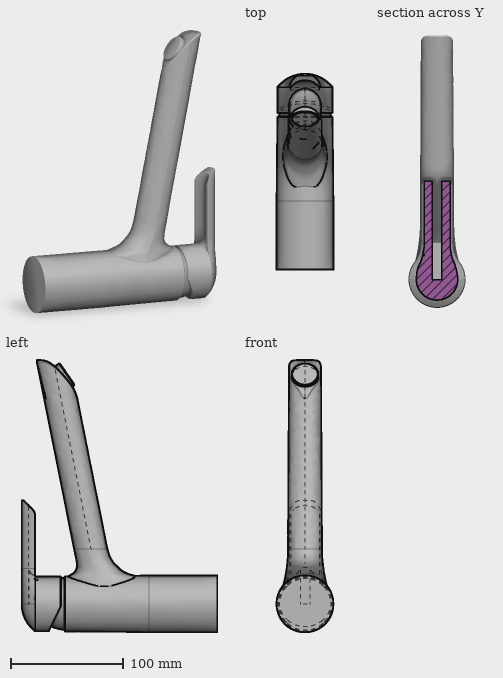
import cadquery as cq
import math


INLET_RADIUS = 25.5
INLET_LENGTH = 61.4
BODY_END_RADIUS = 24.7
BODY_END_Y = 136.8
BODY_END_CHAMFER = 1.0

NECK_RADIUS = 23.3
NECK_TAIL_RADIUS = 19.4
NECK_TAIL_Y = 150.0
NECK_BULGE = 0.6

HANDLE_RADIUS = 24.6
HANDLE_START_Y = 139.6
HANDLE_END_Y = 162.6
HANDLE_CHAMFER = 0.6
RELIEF_TOP_Z = -1.6
RELIEF_BOTTOM_Y = 150.7

TOTAL_LENGTH = 174.85
CAP_DEPTH = TOTAL_LENGTH - HANDLE_END_Y
LEVER_HALF_WIDTH = 14.0
LEVER_TOP_Z = 92.3
FLARE_TOP_Z = 32.0
FLARE_STEPS = 8
TIP_FLAT = 1.8
TIP_CORNER_RADIUS = 9.0
TIP_ROUND_DEPTH = 2.6
TIP_ROUND_HEIGHT = 4.5
HOLLOW_HALF_WIDTH = 12.6
HOLLOW_DEPTH = 6.4
COVE_RADIUS = 8.0
COVE_START_Y = 160.4

TOTAL_HEIGHT = 243.2
SPOUT_TOP_Z = TOTAL_HEIGHT - INLET_RADIUS
SPOUT_LEAN = math.radians(11.3)
SPOUT_FOOT_FRONT_Y = 93.3
SPOUT_FOOT_BACK_Y = 123.1
SPOUT_FOOT_HALF_WIDTH = 15.3
SPOUT_TIP_HALF_WIDTH = 14.4
SPOUT_RIM_ROUND = 1.2
SPOUT_END_CURVE = [(154.0, 217.0), (144.9, 211.6), (129.4, 193.5), (124.3, 181.0)]
SPOUT_END_START = (-1, 0)
SPOUT_END_FINISH = (-0.3, -1)

ROOT_FRONT_RADIUS = 30.0
ROOT_BACK_RADIUS = 10.0
ROOT_TOP_Z = 49.0
ROOT_BOTTOM_Z = 15.5
ROOT_BOTTOM_HALF_WIDTH = 19.8
ROOT_STEPS = 9

NOZZLE_RADIUS = 12.0
NOZZLE_CHAMFER = 0.7
NOZZLE_LENGTH = 9.0
NOZZLE_FACE_Y = 134.1
NOZZLE_FACE_Z = 205.0
NOZZLE_TILT = math.radians(34.6)


def revolve_about_y(profile):
    """Turn a closed XY outline (x = radius) about the Y axis."""
    return profile.close().revolve(360, (0, 0, 0), (0, 1, 0))


def make_body():
    profile = (
        cq.Workplane("XY")
        .lineTo(INLET_RADIUS, 0)
        .lineTo(INLET_RADIUS, INLET_LENGTH)
        .lineTo(BODY_END_RADIUS, BODY_END_Y - BODY_END_CHAMFER)
        .lineTo(BODY_END_RADIUS - BODY_END_CHAMFER, BODY_END_Y)
        .lineTo(0, BODY_END_Y)
    )
    return revolve_about_y(profile)


def make_neck():
    middle_radius = (NECK_RADIUS + NECK_TAIL_RADIUS) / 2 + NECK_BULGE
    middle_y = (BODY_END_Y + NECK_TAIL_Y) / 2
    profile = (
        cq.Workplane("XY")
        .moveTo(0, BODY_END_Y)
        .lineTo(NECK_RADIUS, BODY_END_Y)
        .threePointArc((middle_radius, middle_y), (NECK_TAIL_RADIUS, NECK_TAIL_Y))
        .lineTo(NECK_TAIL_RADIUS, HANDLE_END_Y)
        .lineTo(0, HANDLE_END_Y)
    )
    return revolve_about_y(profile)


def make_handle():
    profile = (
        cq.Workplane("XY")
        .moveTo(0, HANDLE_START_Y)
        .lineTo(HANDLE_RADIUS - HANDLE_CHAMFER, HANDLE_START_Y)
        .lineTo(HANDLE_RADIUS, HANDLE_START_Y + HANDLE_CHAMFER)
        .lineTo(HANDLE_RADIUS, HANDLE_END_Y)
        .lineTo(0, HANDLE_END_Y)
    )
    relief = (
        cq.Workplane("YZ")
        .polyline(
            [
                (HANDLE_START_Y, RELIEF_TOP_Z),
                (RELIEF_BOTTOM_Y, -HANDLE_RADIUS),
                (HANDLE_START_Y, -HANDLE_RADIUS),
            ]
        )
        .close()
        .extrude(INLET_RADIUS, both=True)
    )
    return revolve_about_y(profile).cut(relief)


def make_cap():
    """Dome on the handle; its outline is the circular arc that also shapes the lever back."""
    arc_radius = (HANDLE_RADIUS**2 + CAP_DEPTH**2) / (2 * CAP_DEPTH)
    half_angle = math.asin(HANDLE_RADIUS / arc_radius) / 2
    arc_center_y = TOTAL_LENGTH - arc_radius
    arc_middle = (arc_radius * math.sin(half_angle), arc_center_y + arc_radius * math.cos(half_angle))
    profile = (
        cq.Workplane("XY")
        .moveTo(0, HANDLE_END_Y)
        .lineTo(HANDLE_RADIUS, HANDLE_END_Y)
        .threePointArc(arc_middle, (0, TOTAL_LENGTH))
    )
    return revolve_about_y(profile)


def arched_section(z, half_width, depth):
    """Circular segment standing on the handle end plane and bulging towards +Y."""
    return (
        cq.Workplane("XY", origin=(0, 0, z))
        .moveTo(-half_width, HANDLE_END_Y)
        .threePointArc((0, HANDLE_END_Y + depth), (half_width, HANDLE_END_Y))
        .close()
    )


def flare_half_width(z):
    """Half width of the lever: the handle circle, then an arc tangent to it and to the lever side."""
    spread = HANDLE_RADIUS - LEVER_HALF_WIDTH
    flare_radius = (LEVER_HALF_WIDTH**2 + FLARE_TOP_Z**2 - HANDLE_RADIUS**2) / (2 * spread)
    tangent_z = FLARE_TOP_Z * HANDLE_RADIUS / (HANDLE_RADIUS + flare_radius)
    if z < tangent_z:
        return math.sqrt(HANDLE_RADIUS**2 - z**2)
    drop = FLARE_TOP_Z - z
    return LEVER_HALF_WIDTH + flare_radius - math.sqrt(flare_radius**2 - drop**2)


def make_flare():
    wires = []
    for step in range(FLARE_STEPS + 1):
        z = FLARE_TOP_Z * step / FLARE_STEPS
        wires.append(arched_section(z, flare_half_width(z), CAP_DEPTH).wire().val())
    return cq.Workplane(cq.Solid.makeLoft(wires))


def make_lever_blade():
    """Straight blade with a 45 degree end, rounded over towards the front."""
    blade = arched_section(FLARE_TOP_Z, LEVER_HALF_WIDTH, CAP_DEPTH).extrude(LEVER_TOP_Z - FLARE_TOP_Z)
    slope_start_y = TOTAL_LENGTH - TIP_FLAT
    slope_end_y = HANDLE_END_Y + TIP_ROUND_DEPTH
    slope_end_z = LEVER_TOP_Z - (slope_start_y - slope_end_y)
    side_outline = (
        cq.Workplane("YZ")
        .moveTo(TOTAL_LENGTH, 0)
        .lineTo(TOTAL_LENGTH, LEVER_TOP_Z)
        .lineTo(slope_start_y, LEVER_TOP_Z)
        .lineTo(slope_end_y, slope_end_z)
        .tangentArcPoint((HANDLE_END_Y, slope_end_z - TIP_ROUND_HEIGHT), relative=False)
        .lineTo(HANDLE_END_Y, 0)
        .close()
        .extrude(LEVER_HALF_WIDTH, both=True)
    )
    front_outline = (
        cq.Workplane("XZ")
        .rect(2 * LEVER_HALF_WIDTH, 2 * LEVER_TOP_Z)
        .extrude(-2 * TOTAL_LENGTH)
        .edges("|Y and >Z")
        .fillet(TIP_CORNER_RADIUS)
    )
    return blade.intersect(side_outline).intersect(front_outline)


def make_cove():
    """Disc coaxial with the handle whose rim curves up from the handle cylinder to the lever."""
    cove_end_y = COVE_START_Y + COVE_RADIUS
    cove_middle = COVE_RADIUS * math.sqrt(0.5)
    crest_radius = HANDLE_RADIUS + COVE_RADIUS
    profile = (
        cq.Workplane("XY")
        .moveTo(0, COVE_START_Y)
        .lineTo(HANDLE_RADIUS, COVE_START_Y)
        .threePointArc(
            (crest_radius - cove_middle, COVE_START_Y + cove_middle),
            (crest_radius, cove_end_y),
        )
        .lineTo(0, cove_end_y)
    )
    return revolve_about_y(profile)


def hollow_lever(lever):
    """Cut the finger hollow into the lever front and run it out on the handle in a cove."""
    cove = make_cove()
    hollow = arched_section(0, HOLLOW_HALF_WIDTH, HOLLOW_DEPTH).extrude(LEVER_TOP_Z)
    cove_front = (
        cq.Workplane("XY")
        .moveTo(-HOLLOW_HALF_WIDTH, COVE_START_Y)
        .lineTo(HOLLOW_HALF_WIDTH, COVE_START_Y)
        .lineTo(HOLLOW_HALF_WIDTH, HANDLE_END_Y)
        .lineTo(-HOLLOW_HALF_WIDTH, HANDLE_END_Y)
        .close()
        .extrude(FLARE_TOP_Z)
    )
    return lever.cut(hollow.cut(cove)).union(cove.intersect(cove_front))


def spout_shift(z):
    """How far the leaning spout has moved along +Y at height z."""
    return (z - BODY_END_RADIUS) * math.tan(SPOUT_LEAN)


def cove_reach(z, radius, lean):
    """Extra reach of a cove of this radius, tangent to the body top and to a spout side."""
    center_z = BODY_END_RADIUS + radius
    if z >= center_z - radius * math.sin(lean):
        return 0.0
    drop = min(center_z - z, radius)
    side_distance = radius / math.cos(lean) - drop * math.tan(lean)
    cove_distance = math.sqrt(radius**2 - drop**2)
    return side_distance - cove_distance


def ellipse_section(z, front_y, back_y, half_width):
    center = (0, (front_y + back_y) / 2, z)
    return cq.Workplane("XY", origin=center).ellipse(half_width, (back_y - front_y) / 2).wire().val()


def spout_section(z, half_width):
    front_y = SPOUT_FOOT_FRONT_Y + spout_shift(z)
    back_y = SPOUT_FOOT_BACK_Y + spout_shift(z)
    return ellipse_section(z, front_y, back_y, half_width)


def make_spout_root():
    wires = []
    for step in range(ROOT_STEPS + 1):
        rise = step / ROOT_STEPS
        z = ROOT_BOTTOM_Z + (ROOT_TOP_Z - ROOT_BOTTOM_Z) * rise
        front_y = SPOUT_FOOT_FRONT_Y + spout_shift(z) - cove_reach(z, ROOT_FRONT_RADIUS, SPOUT_LEAN)
        back_y = SPOUT_FOOT_BACK_Y + spout_shift(z) + cove_reach(z, ROOT_BACK_RADIUS, -SPOUT_LEAN)
        spread = (ROOT_BOTTOM_HALF_WIDTH - SPOUT_FOOT_HALF_WIDTH) * (1 - rise) ** 2
        wires.append(ellipse_section(z, front_y, back_y, SPOUT_FOOT_HALF_WIDTH + spread))
    return cq.Workplane(cq.Solid.makeLoft(wires))


def make_spout():
    wires = [
        spout_section(ROOT_TOP_Z, SPOUT_FOOT_HALF_WIDTH),
        spout_section(SPOUT_TOP_Z, SPOUT_TIP_HALF_WIDTH),
    ]
    shaft = cq.Workplane(cq.Solid.makeLoft(wires, True))
    back_y = SPOUT_FOOT_BACK_Y + spout_shift(SPOUT_TOP_Z)
    tip_z = SPOUT_END_CURVE[-1][1]
    keep = (
        cq.Workplane("YZ")
        .moveTo(back_y, 0)
        .lineTo(back_y, SPOUT_TOP_Z)
        .spline(SPOUT_END_CURVE, tangents=[SPOUT_END_START, SPOUT_END_FINISH], includeCurrent=True)
        .lineTo(0, tip_z)
        .lineTo(0, 0)
        .close()
        .extrude(INLET_RADIUS, both=True)
    )
    trimmed = shaft.intersect(keep)
    end_face = trimmed.faces(cq.selectors.NearestToPointSelector((0, *SPOUT_END_CURVE[1])))
    return end_face.edges().fillet(SPOUT_RIM_ROUND)


def make_nozzle():
    axis = (0, -math.cos(NOZZLE_TILT), math.sin(NOZZLE_TILT))
    face = cq.Plane(origin=(0, NOZZLE_FACE_Y, NOZZLE_FACE_Z), xDir=(1, 0, 0), normal=axis)
    barrel = cq.Workplane(face).circle(NOZZLE_RADIUS).extrude(-NOZZLE_LENGTH)
    outer_face = cq.selectors.DirectionMinMaxSelector(cq.Vector(axis), True)
    return barrel.faces(outer_face).chamfer(NOZZLE_CHAMFER)


lever = hollow_lever(make_cap().union(make_flare()).union(make_lever_blade()))
result = (
    make_body()
    .union(make_neck())
    .union(make_handle())
    .union(lever)
    .union(make_spout_root())
    .union(make_spout())
    .union(make_nozzle())
)